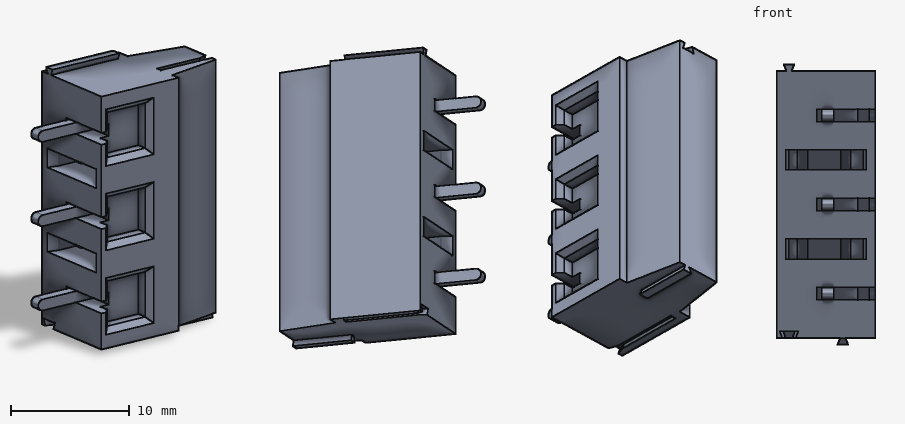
import cadquery as cq

poles = 3
pitch = 7.5
body_width = 8.3
base_depth = 8.15
full_depth = 13.5
body_height = poles * pitch
overall_height = 23.6

shoulder_inset_left = 1.2
shoulder_inset_right = 0.87
end_inset_left = 2.1
end_inset_right = 1.86

front_rail_x = 1.05
back_rail_x = 5.57
rail_height = (overall_height - body_height) / 2
rail_root_half = 0.24
rail_tip_half = 0.45
front_rail_length = 7.08
back_rail_length = 5.26
groove_depth = 0.6
groove_mouth_half = 0.28
groove_floor_half = 0.5
groove_end_gap = 0.1
flare_width = 0.28
flare_length = 0.78

pin_size = 1.0
pin_left = 3.8
pin_length = 4.01
slot_height = 1.06
slot_left = 3.37
slot_depth = 1.89
entry_size = 4.01
entry_start = 1.0
entry_floor_x = 6.85
entry_bevel = 0.52

pocket_height = 1.7
pocket_center_x = body_width / 2
funnel_center_x = 4.0
mouth_half = 3.4
mouth_taper = 0.25
mouth_depth = 1.0
ledge_depth = 2.83
funnel_half = 2.27
floor_half = 1.4
floor_depth = 7.79


def slab(points, z_center, height):
    """Extrude an XY outline, centred in height on z_center."""
    plane = cq.Workplane("XY", origin=(0, 0, z_center - height / 2))
    return plane.polyline(points).close().extrude(height)


def trapezoid(y, x_center, z_root, z_tip, root_half, tip_half):
    """Dovetail section standing in the XZ plane at depth y."""
    return cq.Wire.makePolygon(
        [
            cq.Vector(x_center - root_half, y, z_root),
            cq.Vector(x_center + root_half, y, z_root),
            cq.Vector(x_center + tip_half, y, z_tip),
            cq.Vector(x_center - tip_half, y, z_tip),
        ],
        close=True,
    )


def dovetail(x_center, y_start, length, z_root, z_tip, root_half, tip_half):
    section = trapezoid(y_start, x_center, z_root, z_tip, root_half, tip_half)
    return cq.Workplane(cq.Solid.extrudeLinear(section, [], cq.Vector(0, length, 0)))


def make_body():
    outline = [
        (0, 0),
        (body_width, 0),
        (body_width, base_depth),
        (body_width - shoulder_inset_right, base_depth),
        (body_width - end_inset_right, full_depth),
        (end_inset_left, full_depth),
        (shoulder_inset_left, base_depth),
        (0, base_depth),
    ]
    return slab(outline, body_height / 2, body_height)


def make_rails():
    top_rail = dovetail(
        front_rail_x, 0, front_rail_length,
        body_height, body_height + rail_height, rail_root_half, rail_tip_half,
    )
    bottom_rail = dovetail(
        back_rail_x, full_depth - back_rail_length, back_rail_length,
        0, -rail_height, rail_root_half, rail_tip_half,
    )
    return top_rail.union(bottom_rail)


def make_bottom_groove():
    """Groove for a front rail, flared on both sides where it opens at Y = 0."""
    groove = dovetail(
        front_rail_x, 0, front_rail_length + groove_end_gap,
        0, groove_depth, groove_mouth_half, groove_floor_half,
    )
    wide = trapezoid(
        0, front_rail_x, 0, groove_depth,
        groove_mouth_half + flare_width, groove_floor_half + flare_width,
    )
    narrow = trapezoid(
        flare_length, front_rail_x, 0, groove_depth, groove_mouth_half, groove_floor_half
    )
    flare = cq.Workplane(cq.Solid.makeLoft([wide, narrow], True))
    return groove.union(flare)


def make_top_groove():
    """Groove for a back rail, flared on its left side where it opens at the far end."""
    groove_length = back_rail_length + groove_end_gap
    floor_z = body_height - groove_depth
    groove = dovetail(
        back_rail_x, full_depth - groove_length, groove_length,
        body_height, floor_z, groove_mouth_half, groove_floor_half,
    )
    narrow = trapezoid(
        full_depth - flare_length, back_rail_x, body_height, floor_z,
        groove_mouth_half, groove_floor_half,
    )
    wide = trapezoid(
        full_depth, back_rail_x - flare_width / 2, body_height, floor_z,
        groove_mouth_half + flare_width / 2, groove_floor_half + flare_width / 2,
    )
    flare = cq.Workplane(cq.Solid.makeLoft([narrow, wide], True))
    return groove.union(flare)


def make_pin_slot(z_center):
    """Plain slot that runs out through the right side face."""
    outline = [
        (slot_left, 0),
        (body_width, 0),
        (body_width, entry_start),
        (entry_floor_x, entry_start),
        (entry_floor_x, slot_depth),
        (slot_left, slot_depth),
    ]
    return slab(outline, z_center, slot_height)


def make_wire_entry(z_center):
    """Square hole from the right side face, breaking into the pin slot."""
    y_center = entry_start + entry_size / 2
    depth = body_width - entry_floor_x
    mouth_size = entry_size + 2 * entry_bevel
    hole = cq.Workplane("YZ", origin=(entry_floor_x, y_center, z_center))
    hole = hole.rect(entry_size, entry_size).extrude(depth)
    mouth = cq.Workplane("YZ", origin=(body_width - entry_bevel, y_center, z_center))
    mouth = mouth.rect(entry_size, entry_size).workplane(offset=entry_bevel)
    mouth = mouth.rect(mouth_size, mouth_size).loft(ruled=True)
    return hole.union(mouth)


def make_pin(z_center):
    """Square pin with a full round across its tip, rooted in the back of its slot."""
    radius = pin_size / 2
    side = cq.Workplane("YZ", origin=(pin_left, 0, z_center)).moveTo(slot_depth, radius)
    side = side.lineTo(radius - pin_length, radius)
    side = side.threePointArc((-pin_length, 0), (radius - pin_length, -radius))
    return side.lineTo(slot_depth, -radius).close().extrude(pin_size)


def make_pocket(z_center):
    """Pocket with a tapered mouth and a narrowing funnel set into its flat back."""
    ledge_half = mouth_half - mouth_taper
    outline = [
        (pocket_center_x - mouth_half, 0),
        (pocket_center_x + mouth_half, 0),
        (pocket_center_x + ledge_half, mouth_depth),
        (pocket_center_x + ledge_half, ledge_depth),
        (funnel_center_x + funnel_half, ledge_depth),
        (funnel_center_x + floor_half, floor_depth),
        (funnel_center_x - floor_half, floor_depth),
        (funnel_center_x - funnel_half, ledge_depth),
        (pocket_center_x - ledge_half, ledge_depth),
        (pocket_center_x - ledge_half, mouth_depth),
    ]
    return slab(outline, z_center, pocket_height)


result = make_body().union(make_rails())
result = result.cut(make_bottom_groove()).cut(make_top_groove())
for gap in range(1, poles):
    result = result.cut(make_pocket(gap * pitch))
for pole in range(poles):
    pole_z = (pole + 0.5) * pitch
    result = result.cut(make_pin_slot(pole_z)).cut(make_wire_entry(pole_z))
    result = result.union(make_pin(pole_z))